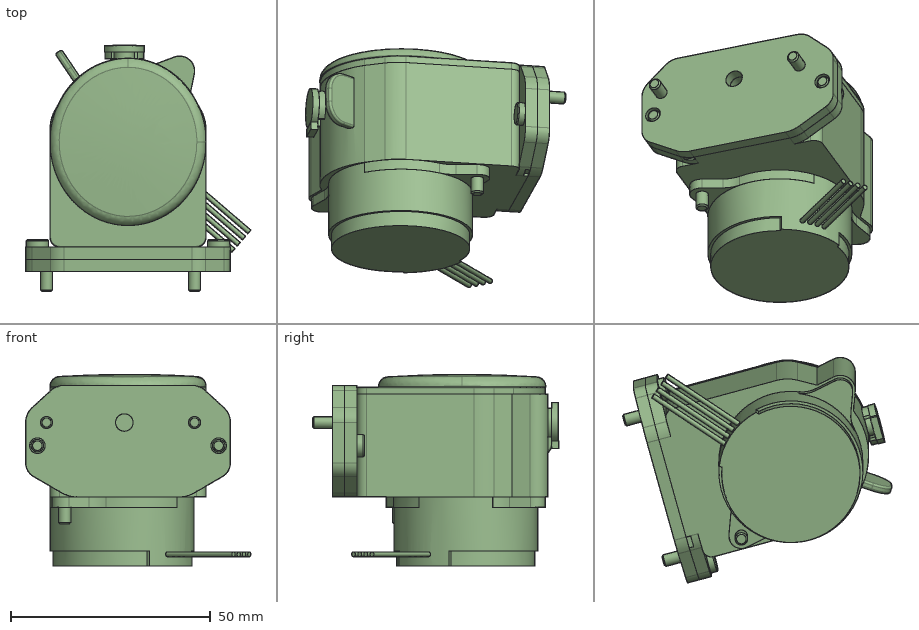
import cadquery as cq
import math


PLATE_THICKNESS = 3.1
FLANGE_BACK_Y = -26.3
FLANGE_MID_Y = FLANGE_BACK_Y - PLATE_THICKNESS
FLANGE_FRONT_Y = FLANGE_MID_Y - PLATE_THICKNESS
FLANGE_HALF_WIDTH = 25.6
FLANGE_BOTTOM_Z = 17.3
FLANGE_TOP_Z = 45.2
FLANGE_TOP_HALF = 17.9
FLANGE_BOTTOM_HALF = 14.85
FLANGE_SIDE_TOP_Z = 38.1
FLANGE_SIDE_BOTTOM_Z = 23.5
UPPER_CORNER_R = 5.0
LOWER_SIDE_CORNER_R = 4.0
LOWER_CORNER_R = 7.5

NOTCH_LEFT_X = -16.3
NOTCH_RIGHT_X = -12.9
NOTCH_WIDTH = 1.2
NOTCH_HEIGHT = 0.6

SHAFT_X = -0.9
SHAFT_Z = 35.9
SHAFT_HOLE_D = 4.4

PIN_D = 3.0
PIN_X = (-20.4, 16.6)
PIN_TIP_Y = -37.4
THREAD_CHAMFER = 0.4

SCREW_D = 3.15
SCREW_HOLE_D = 3.9
SCREW_X = 22.65
SCREW_Z = 30.1
SCREW_HEAD_D = 5.65
SCREW_HEAD_HEIGHT = 1.85
SCREW_HEAD_CHAMFER = 0.3
SCREW_TIP_RECESS = 0.1

HOUSING_HALF_WIDTH = 19.5
HOUSING_BOTTOM_Z = FLANGE_BOTTOM_Z
LID_BOTTOM_Z = 43.0
LID_TOP_Z = 44.75
HOUSING_CORNER_R = 2.4
LID_EDGE_R = 0.2
SIDE_FLAT_END_Y = 2.95
SHOULDER_START = (18.2, 8.0)
SHOULDER_END = (15.45, 12.8)
HOUSING_BACK_Y = 20.8

DOME_HALF_X = 19.5
DOME_HALF_Y = 20.95
DOME_TOP_Z = 47.95
DOME_CROWN_R = 277.05
DOME_EDGE_R = 2.45

TAB_END = (-17.4, 22.55)
TAB_ANGLE = 124.0
TAB_LENGTH = 13.55
TAB_THICKNESS = 2.0
TAB_BOTTOM_Z = 27.0
TAB_TOP_Z = 40.45
TAB_CORNER_R = 5.0
TAB_EDGE_R = 0.55

KNOB_D = 10.05
KNOB_FRONT_Y = 20.75
KNOB_DISC_Y = 22.4
KNOB_BACK_Y = 24.1
LUG_D = 9.7
LUG_HALF_HEIGHT = 3.65
STEM_D = 5.05
POINTER_WIDTH = 5.8
POINTER_BOTTOM_Z = 29.35
POINTER_TOP_Z = 31.35
POINTER_BACK_Y = 24.2

MOTOR_X = -1.5
MOTOR_Y = 0.9
EAR_ANGLE = 49.4
MOTOR_D = 36.0
MOTOR_TOP_Z = HOUSING_BOTTOM_Z
MOTOR_STEP_Z = 3.75
CAP_D = 34.6
EAR_BOTTOM_Z = 14.7
EAR_BAND_R = 18.05
EAR_DISTANCE = 22.1
EAR_D = 6.2
EAR_TAPER = 29.0
EAR_FILLET_R = 7.4
EAR_POST_D = 7.5
CABLE_EXIT_WIDTH = 16.4
WIRE_D = 1.25
WIRE_Z = 2.95
WIRE_TIP = 39.4
WIRE_COUNT = 4
WIRE_PITCH = 2.05
FIRST_WIRE_OFFSET = -3.2

MOTOR_SCREW_TIP_Z = 10.6


def rod_along_y(diameter, x, z, front_y, back_y):
    """Round rod parallel to Y between two Y positions."""
    plane = cq.Plane(origin=(x, back_y, z), xDir=(1, 0, 0), normal=(0, -1, 0))
    return cq.Workplane(plane).circle(diameter / 2).extrude(back_y - front_y)


def flange_plate(front_y, back_y):
    """One flange plate: an octagon with rounded corners."""
    right_side = [
        (FLANGE_BOTTOM_HALF, FLANGE_BOTTOM_Z),
        (FLANGE_HALF_WIDTH, FLANGE_SIDE_BOTTOM_Z),
        (FLANGE_HALF_WIDTH, FLANGE_SIDE_TOP_Z),
        (FLANGE_TOP_HALF, FLANGE_TOP_Z),
    ]
    left_side = [(-x, z) for x, z in reversed(right_side)]
    plate = (
        cq.Workplane("XZ", origin=(0, back_y, 0))
        .polyline(right_side + left_side)
        .close()
        .extrude(back_y - front_y)
    )
    corner_radii = (LOWER_CORNER_R, LOWER_SIDE_CORNER_R, UPPER_CORNER_R, UPPER_CORNER_R)
    mid_y = (front_y + back_y) / 2
    for (x, z), radius in zip(right_side, corner_radii):
        for side in (-1, 1):
            corner = cq.selectors.NearestToPointSelector((side * x, mid_y, z))
            plate = plate.edges("|Y").edges(corner).fillet(radius)
    return plate


def bore_flange(plate, front_y, back_y):
    """Cut the shaft hole and the two screw holes through a flange plate."""
    plate = plate.cut(rod_along_y(SHAFT_HOLE_D, SHAFT_X, SHAFT_Z, front_y, back_y))
    for x in (-SCREW_X, SCREW_X):
        plate = plate.cut(rod_along_y(SCREW_HOLE_D, x, SCREW_Z, front_y, back_y))
    return plate


def place_on_motor(shape):
    """Move a shape from the motor's own axes (ears on local X) to its place."""
    return shape.rotate((0, 0, 0), (0, 0, 1), EAR_ANGLE).translate((MOTOR_X, MOTOR_Y, 0))


def ear(diameter, bottom_z, top_z):
    """Tapered ear on local +X that runs into the motor's round wall with concave fillets."""
    radius = diameter / 2
    taper = math.radians(EAR_TAPER)
    normal_x = math.sin(taper)
    normal_y = math.cos(taper)
    center_height = EAR_DISTANCE * normal_x + radius + EAR_FILLET_R
    center_distance = EAR_BAND_R + EAR_FILLET_R
    center_shift = math.sqrt(center_distance**2 - center_height**2)
    center_x = center_height * normal_x + center_shift * normal_y
    center_y = center_height * normal_y - center_shift * normal_x

    tip_x = EAR_DISTANCE + radius * normal_x
    tip_y = radius * normal_y
    flare_x = center_x - EAR_FILLET_R * normal_x
    flare_y = center_y - EAR_FILLET_R * normal_y
    wall_ratio = EAR_BAND_R / center_distance
    wall_x = center_x * wall_ratio
    wall_y = center_y * wall_ratio
    return (
        cq.Workplane("XY", origin=(0, 0, bottom_z))
        .moveTo(wall_x, -wall_y)
        .radiusArc((flare_x, -flare_y), EAR_FILLET_R)
        .lineTo(tip_x, -tip_y)
        .threePointArc((EAR_DISTANCE + radius, 0), (tip_x, tip_y))
        .lineTo(flare_x, flare_y)
        .radiusArc((wall_x, wall_y), EAR_FILLET_R)
        .close()
        .extrude(top_z - bottom_z)
    )


def housing_block(bottom_z, top_z):
    """D-shaped block: flat sides, sloping shoulders and a round back."""
    half = HOUSING_HALF_WIDTH
    shoulder_x, shoulder_y = SHOULDER_START
    back_x, back_y = SHOULDER_END
    block = (
        cq.Workplane("XY", origin=(0, 0, bottom_z))
        .moveTo(-half, FLANGE_BACK_Y)
        .lineTo(half, FLANGE_BACK_Y)
        .lineTo(half, SIDE_FLAT_END_Y)
        .tangentArcPoint((shoulder_x, shoulder_y), relative=False)
        .lineTo(back_x, back_y)
        .threePointArc((0, HOUSING_BACK_Y), (-back_x, back_y))
        .lineTo(-shoulder_x, shoulder_y)
        .tangentArcPoint((-half, SIDE_FLAT_END_Y), relative=False)
        .close()
        .extrude(top_z - bottom_z)
    )
    return block.edges("|Z and <Y").fillet(HOUSING_CORNER_R)


def grip_tab():
    """Flat tab with two round corners and softened edges, upright on the housing wall."""
    angle = math.radians(TAB_ANGLE)
    along = (math.cos(angle), math.sin(angle), 0)
    across = (math.sin(angle), -math.cos(angle), 0)
    height = TAB_TOP_Z - TAB_BOTTOM_Z
    plane = cq.Plane(
        origin=(TAB_END[0], TAB_END[1], (TAB_BOTTOM_Z + TAB_TOP_Z) / 2),
        xDir=along,
        normal=across,
    )
    tab = (
        cq.Workplane(plane)
        .center(-TAB_LENGTH / 2, 0)
        .rect(TAB_LENGTH, height)
        .extrude(TAB_THICKNESS / 2, both=True)
    )
    end_corners = cq.selectors.ParallelDirSelector(cq.Vector(*across))
    tab = tab.faces(cq.selectors.DirectionMinMaxSelector(cq.Vector(*along), True))
    tab = tab.edges(end_corners).fillet(TAB_CORNER_R)
    return tab.faces(end_corners).edges().fillet(TAB_EDGE_R)


def corner_notch():
    size_x = NOTCH_RIGHT_X - NOTCH_LEFT_X
    notch = cq.Workplane("XY").box(size_x, NOTCH_WIDTH, NOTCH_HEIGHT, centered=False)
    return notch.translate((NOTCH_LEFT_X, FLANGE_MID_Y, FLANGE_BOTTOM_Z))


def build_housing():
    post = place_on_motor(ear(EAR_POST_D, HOUSING_BOTTOM_Z, LID_BOTTOM_Z))
    flange = bore_flange(flange_plate(FLANGE_MID_Y, FLANGE_BACK_Y), FLANGE_MID_Y, FLANGE_BACK_Y)
    flange = flange.cut(corner_notch())
    block = housing_block(HOUSING_BOTTOM_Z, LID_BOTTOM_Z)
    return block.union(post).union(grip_tab()).union(flange)


def build_lid():
    """Lid plate with a low oval dome, crowned on top and rounded at its rim."""
    dome = (
        cq.Workplane("XY", origin=(0, 0, LID_TOP_Z))
        .ellipse(DOME_HALF_X, DOME_HALF_Y)
        .extrude(DOME_TOP_Z - LID_TOP_Z)
    )
    crown = cq.Workplane("XY", origin=(0, 0, DOME_TOP_Z - DOME_CROWN_R)).sphere(DOME_CROWN_R)
    dome = dome.intersect(crown).faces(">Z").edges().fillet(DOME_EDGE_R)
    plate = housing_block(LID_BOTTOM_Z, LID_TOP_Z).faces(">Z").edges().fillet(LID_EDGE_R)
    return plate.union(dome)


def build_front_plate():
    plate = bore_flange(
        flange_plate(FLANGE_FRONT_Y, FLANGE_MID_Y), FLANGE_FRONT_Y, FLANGE_MID_Y
    )
    for x in PIN_X:
        pin = rod_along_y(PIN_D, x, SHAFT_Z, PIN_TIP_Y, FLANGE_MID_Y)
        plate = plate.union(pin.faces("<Y").chamfer(THREAD_CHAMFER))
    return plate


def build_flange_screw(x):
    head_back_y = FLANGE_BACK_Y + SCREW_HEAD_HEIGHT
    head = rod_along_y(SCREW_HEAD_D, x, SCREW_Z, FLANGE_BACK_Y, head_back_y)
    head = head.faces(">Y").chamfer(SCREW_HEAD_CHAMFER)
    shank = rod_along_y(SCREW_D, x, SCREW_Z, FLANGE_FRONT_Y + SCREW_TIP_RECESS, FLANGE_BACK_Y)
    return head.union(shank.faces("<Y").chamfer(THREAD_CHAMFER))


def build_knob():
    """Disc with a pointer below, and a stem between two lugs in front of it."""
    disc = rod_along_y(KNOB_D, SHAFT_X, SHAFT_Z, KNOB_DISC_Y, KNOB_BACK_Y)
    pointer = cq.Workplane("XY").box(
        POINTER_WIDTH,
        POINTER_BACK_Y - KNOB_DISC_Y,
        POINTER_TOP_Z - POINTER_BOTTOM_Z,
        centered=(True, False, False),
    ).translate((SHAFT_X, KNOB_DISC_Y, POINTER_BOTTOM_Z))
    lug_depth = KNOB_DISC_Y - KNOB_FRONT_Y
    lug_center = (SHAFT_X, (KNOB_FRONT_Y + KNOB_DISC_Y) / 2, SHAFT_Z)
    lug_band = cq.Workplane("XY").box(LUG_D, lug_depth, 2 * LUG_HALF_HEIGHT).translate(lug_center)
    lug_gap = cq.Workplane("XY").box(STEM_D, lug_depth, LUG_D).translate(lug_center)
    lugs = rod_along_y(LUG_D, SHAFT_X, SHAFT_Z, KNOB_FRONT_Y, KNOB_DISC_Y)
    lugs = lugs.intersect(lug_band).cut(lug_gap)
    stem = rod_along_y(STEM_D, SHAFT_X, SHAFT_Z, KNOB_FRONT_Y, KNOB_DISC_Y)
    return disc.union(pointer).union(lugs).union(stem)


def motor_cylinder(radius, bottom_z, top_z):
    return cq.Workplane("XY", origin=(0, 0, bottom_z)).circle(radius).extrude(top_z - bottom_z)


def cable_exit():
    """Part of the lower step that keeps the full motor radius, on the wire side."""
    side_block = (
        cq.Workplane("XY")
        .center(0, -MOTOR_D / 2)
        .rect(CABLE_EXIT_WIDTH, MOTOR_D)
        .extrude(MOTOR_STEP_Z)
    )
    return motor_cylinder(MOTOR_D / 2, 0, MOTOR_STEP_Z).intersect(side_block)


def ear_band():
    """Half ring, slightly proud of the motor wall, that carries the front ear."""
    half_space = (
        cq.Workplane("XY", origin=(0, 0, EAR_BOTTOM_Z))
        .center(-EAR_BAND_R, 0)
        .rect(2 * EAR_BAND_R, 2 * EAR_BAND_R)
        .extrude(MOTOR_TOP_Z - EAR_BOTTOM_Z)
    )
    return motor_cylinder(EAR_BAND_R, EAR_BOTTOM_Z, MOTOR_TOP_Z).intersect(half_space)


def wire(offset):
    plane = cq.Plane(origin=(offset, 0, WIRE_Z), xDir=(1, 0, 0), normal=(0, -1, 0))
    return cq.Workplane(plane).circle(WIRE_D / 2).extrude(WIRE_TIP)


def build_motor():
    motor = motor_cylinder(MOTOR_D / 2, MOTOR_STEP_Z, MOTOR_TOP_Z)
    motor = motor.union(motor_cylinder(CAP_D / 2, 0, MOTOR_STEP_Z)).union(cable_exit())
    motor = motor.union(ear_band())
    back_ear = ear(EAR_D, EAR_BOTTOM_Z, MOTOR_TOP_Z)
    front_ear = back_ear.rotate((0, 0, 0), (0, 0, 1), 180)
    motor = motor.union(back_ear).union(front_ear)
    for index in range(WIRE_COUNT):
        motor = motor.union(wire(FIRST_WIRE_OFFSET + index * WIRE_PITCH))
    return place_on_motor(motor)


def build_motor_screw():
    """Screw through the front ear, flush with the ear's upper face."""
    screw = (
        cq.Workplane("XY", origin=(-EAR_DISTANCE, 0, MOTOR_SCREW_TIP_Z))
        .circle(SCREW_D / 2)
        .extrude(MOTOR_TOP_Z - MOTOR_SCREW_TIP_Z)
    )
    return place_on_motor(screw.faces("<Z").chamfer(THREAD_CHAMFER))


knob = build_knob()
housing = build_housing().cut(knob)
lid = build_lid()
front_plate = build_front_plate()
motor_screw = build_motor_screw()
motor = build_motor().cut(motor_screw)
flange_screws = [build_flange_screw(x).val() for x in (-SCREW_X, SCREW_X)]

result = cq.Compound.makeCompound(
    [
        housing.val(),
        lid.val(),
        front_plate.val(),
        motor.val(),
        motor_screw.val(),
        knob.val(),
        *flange_screws,
    ]
)